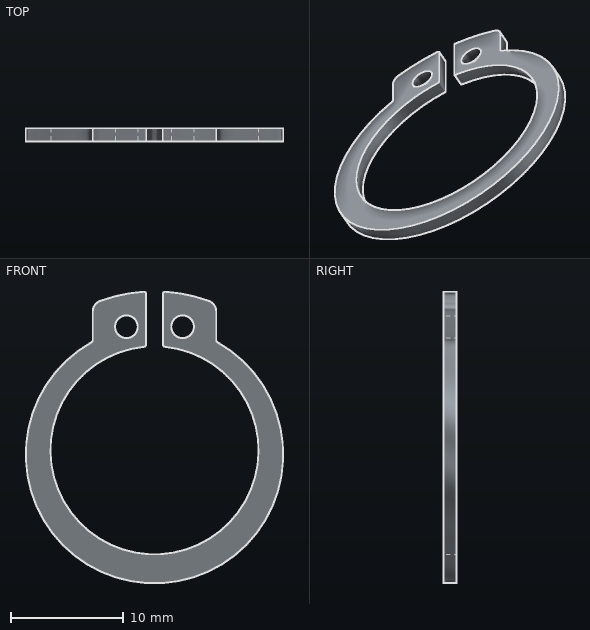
import cadquery as cq
import math

thickness = 1.2
bore_radius = 9.25
outer_radius = 11.47
bottom_width = 2.6

overall_height = 25.98
lug_half_width = 5.5
gap_half_width = 0.75
lug_corner_radius = 1.0
small_radius = 0.2
hole_diameter = 2.0
hole_x = 2.5
hole_z = 11.0

outer_center_z = outer_radius - bore_radius - bottom_width
ring_bottom_z = outer_center_z - outer_radius
lug_peak_x = gap_half_width + small_radius
lug_peak_z = overall_height + ring_bottom_z
lug_tip_radius = math.hypot(lug_peak_x, lug_peak_z)


def back_plane():
    """XZ workplane on the +Y face of the ring; extrusions run towards -Y."""
    return cq.Workplane("XZ", origin=(0, thickness / 2, 0))


def disc(radius, center_z=0.0):
    """Disc of the ring's thickness, centred on Y = 0."""
    return back_plane().center(0, center_z).circle(radius).extrude(thickness)


def upright_block(half_width, height):
    """Block rising from Z = 0, symmetric about X = 0."""
    return back_plane().center(0, height / 2).rect(2 * half_width, height).extrude(thickness)


def edges_near(half_width, z):
    """Selector for the mirrored pair of edges whose midpoints lie at X = +/-half_width and height z."""
    reach = small_radius / 2
    left, right = [
        cq.selectors.BoxSelector((x - reach, -reach, z - reach), (x + reach, reach, z + reach))
        for x in (-half_width, half_width)
    ]
    return left + right


def height_on_circle(radius, x, center_z=0.0):
    """Height of the upper half of a circle at the given X."""
    return center_z + math.sqrt(radius**2 - x**2)


def make_blank():
    """Eccentric ring with one wide lug block, split by the gap."""
    lugs = upright_block(lug_half_width, overall_height).intersect(disc(lug_tip_radius))
    body = disc(outer_radius, outer_center_z).union(lugs)
    return body.cut(disc(bore_radius)).cut(upright_block(gap_half_width, overall_height))


def round_corners(body):
    """Round the lug shoulders, the lug roots and the corners at the gap."""
    shoulder_z = height_on_circle(lug_tip_radius, lug_half_width)
    root_z = height_on_circle(outer_radius, lug_half_width, outer_center_z)
    gap_top_z = height_on_circle(lug_tip_radius, gap_half_width)
    gap_bottom_z = height_on_circle(bore_radius, gap_half_width)

    body = body.edges(edges_near(lug_half_width, shoulder_z)).fillet(lug_corner_radius)
    body = body.edges(edges_near(lug_half_width, root_z)).fillet(small_radius)
    for z in (gap_top_z, gap_bottom_z):
        body = body.edges(edges_near(gap_half_width, z)).fillet(small_radius)
    return body


def drill_plier_holes(body):
    """Through hole in each lug for the pliers."""
    holes = (
        back_plane()
        .pushPoints([(-hole_x, hole_z), (hole_x, hole_z)])
        .circle(hole_diameter / 2)
        .extrude(thickness)
    )
    return body.cut(holes)


result = drill_plier_holes(round_corners(make_blank()))